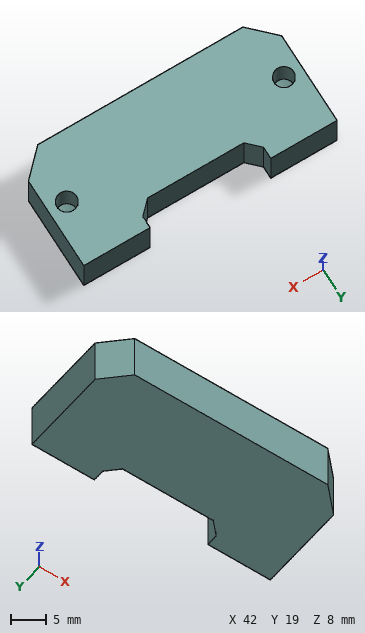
import cadquery as cq
import math

length = 42.0
width = 19.0
height = 8.0
corner_chamfer = 4.0

notch_width = 20.0
notch_depth = 4.0
notch_chamfer = 2.0

hole_diameter = 3.2
hole_spacing = 36.0
hole_depth = 5.05
drill_tip_angle = 118.0


def make_block():
    """Rectangular block centred on X and Y, with its two front vertical edges chamfered."""
    block = cq.Workplane("XY").box(length, width, height, centered=(True, True, False))
    return block.edges("|Z and <Y").chamfer(corner_chamfer)


def make_notch():
    """Full-height cutter for the rear notch, with chamfered inner corners."""
    notch = cq.Workplane("XY").box(notch_width, notch_depth, height, centered=(True, False, False))
    notch = notch.edges("|Z and <Y").chamfer(notch_chamfer)
    return notch.translate((0, width / 2 - notch_depth, 0))


def make_drilled_hole(x):
    """Cutter for a hole with a conical drill tip, entering the top face at x on the centreline."""
    radius = hole_diameter / 2
    tip_length = radius / math.tan(math.radians(drill_tip_angle / 2))
    floor_z = height - hole_depth
    profile = (
        cq.Workplane("XZ")
        .moveTo(0, height)
        .lineTo(radius, height)
        .lineTo(radius, floor_z)
        .lineTo(0, floor_z - tip_length)
        .close()
    )
    return profile.revolve(360, (0, 0, 0), (0, 1, 0)).translate((x, 0, 0))


result = make_block().cut(make_notch())
for side in (-1, 1):
    result = result.cut(make_drilled_hole(side * hole_spacing / 2))